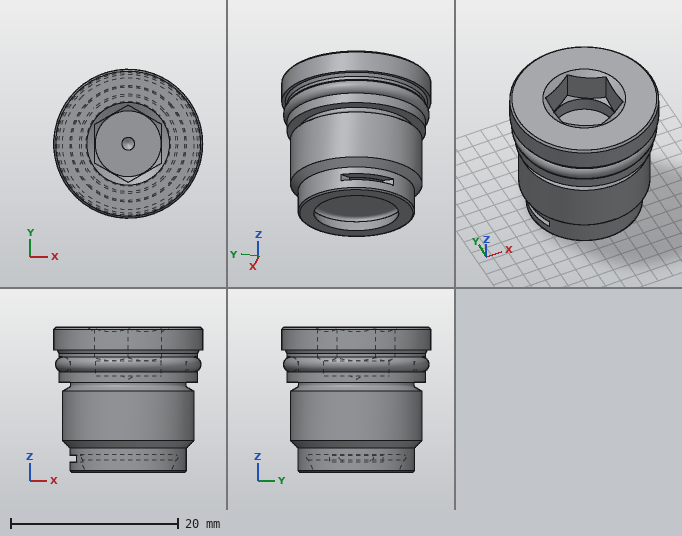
import cadquery as cq
import math

total_height = 17.324

flange_radius = 8.905
flange_bottom = 14.6
flange_chamfer = 0.25

land_radius = 8.28
land_bottom = 10.73
relief_top_radius = 8.5
relief_bottom = 14.18

ring_section_radius = 0.89
ring_outer_radius = 8.7
ring_height = 12.88
ring_center_radius = ring_outer_radius - ring_section_radius

groove_floor_radius = ring_center_radius - ring_section_radius
groove_width = 1.8
groove_top = ring_height + groove_width / 2
groove_bottom = ring_height - groove_width / 2

neck_radius = 6.91
neck_blend_radius = 0.3
shoulder_angle = math.radians(30)
body_radius = 7.87
body_top = 9.68
body_bottom = 3.8

tip_radius = 6.96
tip_top = body_bottom - (body_radius - tip_radius)
tip_chamfer = 0.2

hex_across_flats = 8.0
hex_corner_radius = hex_across_flats / 2 / math.cos(math.pi / 6)
lead_in_radius = 4.94
lead_in_angle = math.radians(30)
bore_radius = 3.93
socket_depth = 5.8
bore_floor = total_height - socket_depth
hex_depth = 3.65
seat_angle = math.radians(30)
dimple_radius = 0.76
dimple_angle = math.radians(30)

pocket_radius = 5.93
pocket_groove_radius = 0.34
pocket_widest_height = 1.77
pocket_groove_bottom = 1.45
pocket_taper = math.radians(24)

slot_bottom = 1.22
slot_width = 0.8
slot_half_length = 3.2
slot_cutter_radius = 5.5


def turned_body():
    """Outside of the plug as a half profile (radius, height) turned about Z."""
    blend_center_radius = neck_radius + neck_blend_radius
    shoulder_turn = math.pi / 2 - shoulder_angle
    blend_end_radius = blend_center_radius - neck_blend_radius * math.cos(shoulder_turn)
    blend_end_height = body_top + (body_radius - blend_end_radius) * math.tan(shoulder_angle)
    blend_top = blend_end_height + neck_blend_radius * math.sin(shoulder_turn)
    blend_mid = (
        blend_center_radius - neck_blend_radius * math.cos(shoulder_turn / 2),
        blend_top - neck_blend_radius * math.sin(shoulder_turn / 2),
    )
    profile = (
        cq.Workplane("XZ")
        .moveTo(0, 0)
        .lineTo(tip_radius - tip_chamfer, 0)
        .lineTo(tip_radius, tip_chamfer)
        .lineTo(tip_radius, tip_top)
        .lineTo(body_radius, body_bottom)
        .lineTo(body_radius, body_top)
        .lineTo(blend_end_radius, blend_end_height)
        .threePointArc(blend_mid, (neck_radius, blend_top))
        .lineTo(neck_radius, land_bottom)
        .lineTo(land_radius, land_bottom)
        .lineTo(land_radius, groove_bottom)
        .lineTo(groove_floor_radius, groove_bottom)
        .lineTo(groove_floor_radius, groove_top)
        .lineTo(land_radius, groove_top)
        .lineTo(land_radius, relief_bottom)
        .lineTo(relief_top_radius, flange_bottom)
        .lineTo(flange_radius, flange_bottom)
        .lineTo(flange_radius, total_height - flange_chamfer)
        .lineTo(flange_radius - flange_chamfer, total_height)
        .lineTo(0, total_height)
        .close()
    )
    return profile.revolve(360, (0, 0, 0), (0, 1, 0))


def cone_cut(radius, height, slope):
    """Downward-pointing cone of the given top radius, its top circle at the given height."""
    profile = (
        cq.Workplane("XZ")
        .moveTo(0, height)
        .lineTo(radius, height)
        .lineTo(0, height - radius * math.tan(slope))
        .close()
    )
    return profile.revolve(360, (0, 0, 0), (0, 1, 0))


def hex_prism(bottom, top):
    """Upright hexagonal prism with two corners on the Y axis."""
    prism = (
        cq.Workplane("XY")
        .workplane(offset=bottom)
        .polygon(6, 2 * hex_corner_radius)
        .extrude(top - bottom)
    )
    return prism.rotate((0, 0, 0), (0, 0, 1), 30)


def socket_cut():
    """Hexagon, its lead-in, the seat under it, the bore and the floor dimple."""
    seat_top = total_height - hex_depth
    hexagon = hex_prism(seat_top, total_height)
    lead_in = cone_cut(lead_in_radius, total_height, lead_in_angle)
    seat = cone_cut(hex_corner_radius, seat_top, seat_angle)
    bore = cq.Workplane("XY").workplane(offset=bore_floor).circle(bore_radius).extrude(seat_top - bore_floor)
    dimple = cone_cut(dimple_radius, bore_floor, dimple_angle)
    seat_in_hex = seat.intersect(hex_prism(bore_floor, seat_top))
    return hexagon.union(lead_in).union(seat_in_hex).union(bore).union(dimple)


def pocket_cut():
    """Undercut pocket open at the bottom face."""
    groove_center_radius = pocket_radius - pocket_groove_radius
    roof = pocket_widest_height + pocket_groove_radius
    drop = pocket_widest_height - pocket_groove_bottom
    wall_top_radius = groove_center_radius + math.sqrt(pocket_groove_radius**2 - drop**2)
    mouth_radius = wall_top_radius - pocket_groove_bottom * math.tan(pocket_taper)
    profile = (
        cq.Workplane("XZ")
        .moveTo(0, 0)
        .lineTo(mouth_radius, 0)
        .lineTo(wall_top_radius, pocket_groove_bottom)
        .threePointArc((pocket_radius, pocket_widest_height), (groove_center_radius, roof))
        .lineTo(0, roof)
        .close()
    )
    return profile.revolve(360, (0, 0, 0), (0, 1, 0))


def slot_cut():
    """Disc-cutter slot whose ends reach the tip surface at the slot half length."""
    rim_distance = math.sqrt(tip_radius**2 - slot_half_length**2)
    cutter_reach = math.sqrt(slot_cutter_radius**2 - slot_half_length**2)
    return (
        cq.Workplane("XY")
        .workplane(offset=slot_bottom)
        .center(-rim_distance - cutter_reach, 0)
        .circle(slot_cutter_radius)
        .extrude(slot_width)
    )


def o_ring():
    """Round-section ring seated in the groove."""
    section = cq.Workplane("XZ").center(ring_center_radius, ring_height).circle(ring_section_radius)
    return section.revolve(360, (-ring_center_radius, 0, 0), (-ring_center_radius, 1, 0))


plug = turned_body().cut(socket_cut()).cut(pocket_cut()).cut(slot_cut())
seal_ring = o_ring()

result = cq.Compound.makeCompound([plug.val(), seal_ring.val()])